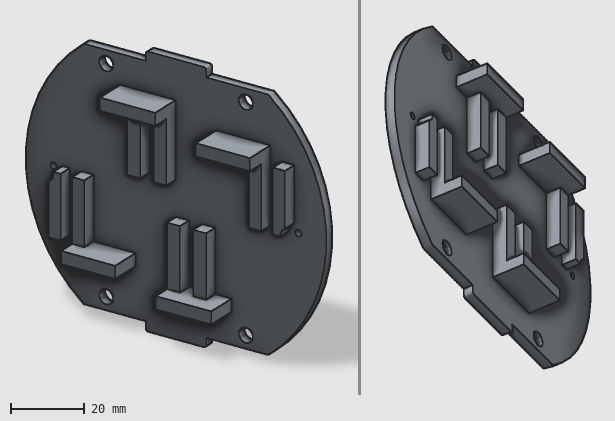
import cadquery as cq
import math

disc_radius = 49.3
overall_height = 84.0
tab_height = 3.0
tab_width = 19.9
flat_z = overall_height / 2 - tab_height
plate_thickness = 3.0
corner_radius = 1.0

screw_hole_diameter = 4.5
screw_hole_x = 22.9
screw_hole_z = 34.9
pin_hole_diameter = 2.0
pin_hole_x = 40.2
pin_clearance_radius = 3.0

rib_height = 4.5
overall_depth = 13.0
shelf_height = overall_depth - plate_thickness
shelf_thickness = 3.9
pattern_center_z = 0.3

outer_shelf_length = 17.8
outer_shelf_end_x = 31.0
outer_shelf_z = 19.7
outer_rib_width = 3.9
outer_rib_x = outer_shelf_end_x - outer_rib_width
pin_rib_x = 34.8
outer_rib_bottom_z = -0.3

middle_shelf_length = 18.2
middle_shelf_end_x = -0.1
middle_shelf_z = 25.5
middle_rib_width = 4.2
middle_rib_pitch = 8.6
middle_rib_bottom_z = 5.5


def block(x, z, width, length, height):
    """Block on the plate face, from lower left corner (x, z), standing out toward -Y."""
    corner = (x, -height, z)
    return cq.Workplane("XY").box(width, height, length, centered=False).translate(corner)


def cylinder(x, z, diameter):
    """Cutting cylinder along Y, long enough to pass through the whole part."""
    base = cq.Workplane("XZ", origin=(x, plate_thickness, z))
    return base.circle(diameter / 2).extrude(overall_depth)


def make_plate():
    flat_x = math.sqrt(disc_radius**2 - flat_z**2)
    outline = (
        cq.Workplane("XZ", origin=(0, plate_thickness, 0))
        .moveTo(-flat_x, -flat_z)
        .lineTo(flat_x, -flat_z)
        .threePointArc((disc_radius, 0), (flat_x, flat_z))
        .lineTo(-flat_x, flat_z)
        .threePointArc((-disc_radius, 0), (-flat_x, -flat_z))
        .close()
    )
    disc = outline.extrude(plate_thickness).edges("|Y").fillet(corner_radius)
    tabs = cq.Workplane("XY").box(tab_width, plate_thickness, overall_height)
    tabs = tabs.edges("|Y").fillet(corner_radius).translate((0, plate_thickness / 2, 0))
    return disc.union(tabs)


def make_upper_supports():
    outer_rib_length = outer_shelf_z - outer_rib_bottom_z
    outer_shelf_x = outer_shelf_end_x - outer_shelf_length
    supports = block(outer_shelf_x, outer_shelf_z, outer_shelf_length, shelf_thickness, shelf_height)
    for x in (outer_rib_x, pin_rib_x):
        rib = block(x, outer_rib_bottom_z, outer_rib_width, outer_rib_length, rib_height)
        supports = supports.union(rib)

    middle_rib_length = middle_shelf_z - middle_rib_bottom_z
    middle_shelf_x = middle_shelf_end_x - middle_shelf_length
    middle_shelf = block(middle_shelf_x, middle_shelf_z, middle_shelf_length, shelf_thickness, shelf_height)
    supports = supports.union(middle_shelf)
    inner_rib_x = middle_shelf_end_x - middle_rib_width
    for x in (inner_rib_x, inner_rib_x - middle_rib_pitch):
        rib = block(x, middle_rib_bottom_z, middle_rib_width, middle_rib_length, rib_height)
        supports = supports.union(rib)
    return supports


upper_supports = make_upper_supports()
lower_supports = upper_supports.rotate((0, 0, 0), (0, 1, 0), 180)
supports = upper_supports.union(lower_supports).translate((0, 0, pattern_center_z))

for side in (-1, 1):
    supports = supports.cut(cylinder(side * pin_hole_x, 0, 2 * pin_clearance_radius))

result = make_plate().union(supports)
for side in (-1, 1):
    result = result.cut(cylinder(side * pin_hole_x, 0, pin_hole_diameter))
    for end in (-1, 1):
        result = result.cut(cylinder(side * screw_hole_x, end * screw_hole_z, screw_hole_diameter))